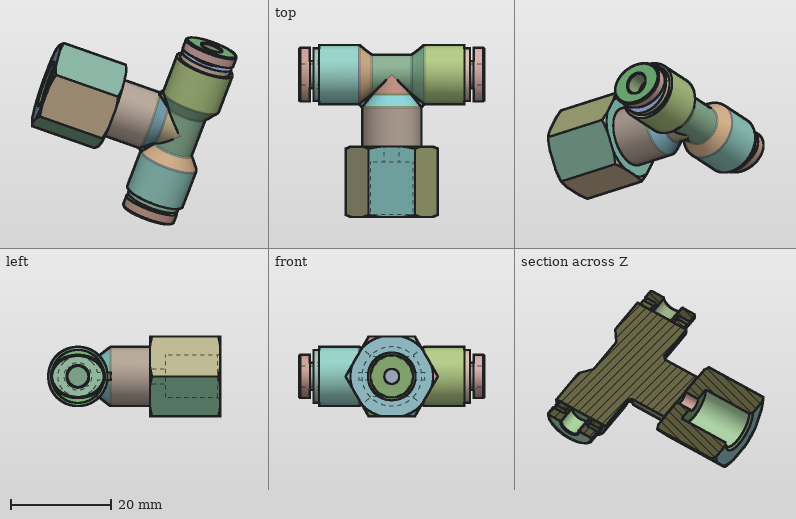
import cadquery as cq
import math


port_diameter = 11.9
neck_diameter = 8.0
run_half_length = 14.5
branch_length = 14.4
shoulder_start = neck_diameter / 2
shoulder_end = 6.5
shoulder_fillet = 0.45
web_thickness = 1.5
web_reach = 5.9
web_overhang = 6.6

sleeve_diameter = 10.6
sleeve_length = 1.15

overall_length = 37.0
button_width = 10.8
button_height = 8.7
button_thickness = 2.15
button_chamfer = 0.25
stem_diameter = 5.5
tube_bore_diameter = 4.2
tube_bore_chamfer = 0.17

hex_across_flats = 16.0
hex_corner_radius = hex_across_flats / math.sqrt(3)
hex_length = 14.1
hex_face_diameter = 16.5
hex_chamfer_angle = 24.0
thread_bore_diameter = 8.5
thread_bore_depth = 11.0
thread_bore_chamfer = 0.53
orifice_diameter = 3.0


def along_x(body, side):
    """Turn a body built along +Z so that it points along +X (side 1) or -X (side -1)."""
    return body.rotate((0, 0, 0), (0, 1, 0), side * 90)


def along_minus_y(body):
    """Turn a body built along +Z so that it points along -Y."""
    return body.rotate((0, 0, 0), (1, 0, 0), 90)


def make_port(length):
    """Neck widening over a filleted cone to a round port, from the origin along +Z."""
    neck_radius = neck_diameter / 2
    port_radius = port_diameter / 2
    port = (
        cq.Workplane("XZ")
        .moveTo(0, 0)
        .lineTo(neck_radius, 0)
        .lineTo(neck_radius, shoulder_start)
        .lineTo(port_radius, shoulder_end)
        .lineTo(port_radius, length)
        .lineTo(0, length)
        .close()
        .revolve(360, (0, 0, 0), (0, 1, 0))
    )
    return port.edges("%CIRCLE and (not <Z) and (not >Z)").fillet(shoulder_fillet)


def make_web():
    """Thin flat web filling both corners between the run and the branch."""
    return (
        cq.Workplane("XY")
        .polyline([
            (0, 0),
            (web_overhang, -web_reach),
            (web_reach, -web_overhang),
            (-web_reach, -web_overhang),
            (-web_overhang, -web_reach),
        ])
        .close()
        .extrude(web_thickness / 2, both=True)
    )


def make_housing():
    run_port = make_port(run_half_length)
    housing = along_x(run_port, 1).union(along_x(run_port, -1))
    housing = housing.union(along_minus_y(make_port(branch_length)))
    return housing.union(make_web())


def make_sleeve(side):
    sleeve = (
        cq.Workplane("XY")
        .workplane(offset=run_half_length)
        .circle(sleeve_diameter / 2)
        .circle(stem_diameter / 2)
        .extrude(sleeve_length)
    )
    return along_x(sleeve, side)


def make_button(side):
    """Chamfered oval cap on a stem that reaches the housing, bored through for the tube."""
    button_end = overall_length / 2
    button = (
        cq.Workplane("XY")
        .workplane(offset=button_end - button_thickness)
        .ellipse(button_height / 2, button_width / 2)
        .extrude(button_thickness)
        .faces(">Z")
        .edges()
        .chamfer(button_chamfer)
    )
    stem = (
        cq.Workplane("XY")
        .workplane(offset=run_half_length)
        .circle(stem_diameter / 2)
        .extrude(button_end - button_thickness - run_half_length)
    )
    bored = button.union(stem).faces(">Z").workplane(origin=(0, 0, 0)).hole(tube_bore_diameter)
    bored = bored.faces(">Z").edges("%CIRCLE").chamfer(tube_bore_chamfer)
    return along_x(bored, side)


def make_hex_chamfer_envelope():
    """Round body whose conical ends trim the corners of the hexagon."""
    face_radius = hex_face_diameter / 2
    chamfer_height = (hex_corner_radius - face_radius) * math.tan(math.radians(hex_chamfer_angle))
    return (
        cq.Workplane("XZ")
        .moveTo(0, 0)
        .lineTo(face_radius, 0)
        .lineTo(hex_corner_radius, chamfer_height)
        .lineTo(hex_corner_radius, hex_length - chamfer_height)
        .lineTo(face_radius, hex_length)
        .lineTo(0, hex_length)
        .close()
        .revolve(360, (0, 0, 0), (0, 1, 0))
    )


def make_adapter():
    """Hexagon standing on the branch end, with corners along X and a stepped bore."""
    hexagon = (
        cq.Workplane("XY")
        .polygon(6, 2 * hex_corner_radius)
        .extrude(hex_length)
        .intersect(make_hex_chamfer_envelope())
    )
    bored = (
        hexagon.faces(">Z")
        .workplane(origin=(0, 0, 0))
        .cboreHole(orifice_diameter, thread_bore_diameter, thread_bore_depth)
    )
    thread_mouth = cq.selectors.RadiusNthSelector(0)
    bored = bored.faces(">Z").edges("%CIRCLE").edges(thread_mouth).chamfer(thread_bore_chamfer)
    return along_minus_y(bored.translate((0, 0, branch_length)))


housing = make_housing()
adapter = make_adapter()
sleeves = [make_sleeve(side) for side in (-1, 1)]
buttons = [make_button(side) for side in (-1, 1)]

result = cq.Compound.makeCompound(
    [body.val() for body in [housing, adapter, *sleeves, *buttons]]
)